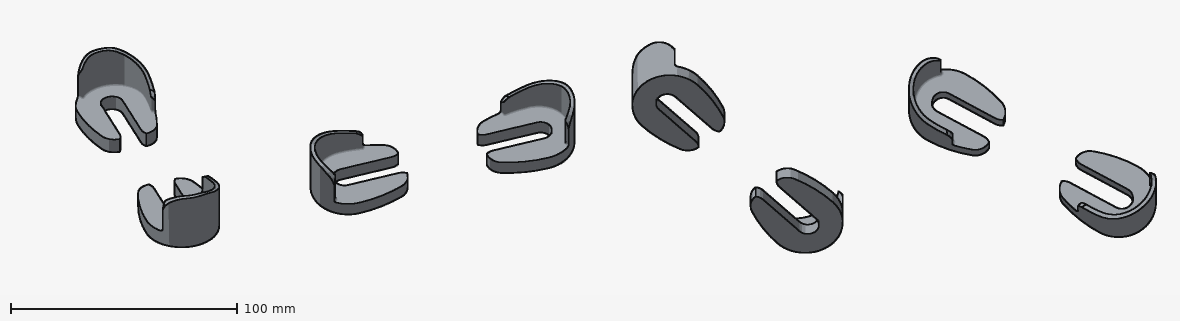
import cadquery as cq
import math

overall_length = 121.16
overall_width = 33.34
height = 26.42

heel_radius = overall_width / 2
heel_center_offset = overall_length / 2 - heel_radius
base_thickness = 7.0
flank_radius = 60.0
flank_run = 20.7
prong_length = 25.42
slot_radius = 5.0
heel_to_slot = 10.0
slot_end_x = heel_to_slot + slot_radius - heel_radius
slot_flare_x = 21.9

wall_thickness = 2.0
wall_inner_radius = heel_radius - wall_thickness
tall_end_angle = math.radians(230.6)
low_end_outer_x = 11.95
low_end_inner_x = 11.05
foot_fillet = 1.25
inner_edge_round = 0.6
match_tolerance = 0.01

slope_angle = math.radians(20.0)
slope_heading = math.radians(37.0)
slope_start = -9.3
slope_blend_radius = 13.0

tall_corner_y = -12.9
tall_corner_radius = 9.1
low_corner_radius = 4.8
low_corner_center_z = 12.6
low_corner_entry_angle = math.radians(32.0)


def polar(radius, angle, center=(0, 0)):
    return (center[0] + radius * math.cos(angle), center[1] + radius * math.sin(angle))


def below(point):
    """Mirror image of a plan point across the X axis."""
    return (point[0], -point[1])


def flank_point(x, inset=0):
    """Point on the +Y flank curve, moved inward by the inset."""
    radius = flank_radius - inset
    return (x, heel_radius - flank_radius + math.sqrt(radius**2 - x**2))


def base_plate():
    flank_mid = flank_point(flank_run / 2)
    flank_end = flank_point(flank_run)

    tilt = math.asin(flank_run / flank_radius)
    tip_radius = (prong_length - flank_run) / (1 - math.sin(tilt))
    tip_center = (prong_length - tip_radius, flank_end[1] - tip_radius * math.cos(tilt))
    tip_mid = polar(tip_radius, (math.pi / 2 - tilt) / 2, tip_center)
    tip_end = (prong_length, tip_center[1])

    flare_run = prong_length - slot_flare_x
    flare_rise = tip_end[1] - slot_radius
    flare_radius = (flare_run**2 + flare_rise**2) / (2 * flare_rise)
    flare_half_sweep = math.asin(flare_run / flare_radius) / 2
    flare_center = (slot_flare_x, slot_radius + flare_radius)
    flare_mid = polar(flare_radius, flare_half_sweep - math.pi / 2, flare_center)
    flare_start = (slot_flare_x, slot_radius)

    return (
        cq.Workplane("XY")
        .moveTo(0, -heel_radius)
        .threePointArc((-heel_radius, 0), (0, heel_radius))
        .threePointArc(flank_mid, flank_end)
        .threePointArc(tip_mid, tip_end)
        .threePointArc(flare_mid, flare_start)
        .lineTo(slot_end_x, slot_radius)
        .threePointArc((slot_end_x - slot_radius, 0), (slot_end_x, -slot_radius))
        .lineTo(*below(flare_start))
        .threePointArc(below(flare_mid), below(tip_end))
        .threePointArc(below(tip_mid), below(flank_end))
        .threePointArc(below(flank_mid), (0, -heel_radius))
        .close()
        .extrude(base_thickness)
    )


def rim_wall():
    """Wall at full height, flush with the base along the heel and the +Y flank."""
    mid_height = (base_thickness + height) / 2
    low_end_inner = flank_point(low_end_inner_x, wall_thickness)
    tall_end_inner = polar(wall_inner_radius, tall_end_angle)
    heel_mid_angle = (math.pi / 2 + tall_end_angle) / 2
    return (
        cq.Workplane("XY")
        .workplane(offset=base_thickness)
        .moveTo(*polar(heel_radius, tall_end_angle))
        .threePointArc(polar(heel_radius, heel_mid_angle), (0, heel_radius))
        .threePointArc(flank_point(low_end_outer_x / 2), flank_point(low_end_outer_x))
        .lineTo(*low_end_inner)
        .threePointArc(flank_point(low_end_inner_x / 2, wall_thickness), (0, wall_inner_radius))
        .threePointArc(polar(wall_inner_radius, heel_mid_angle), tall_end_inner)
        .close()
        .extrude(height - base_thickness)
        .edges(cq.selectors.NearestToPointSelector((*tall_end_inner, mid_height)))
        .fillet(inner_edge_round)
        .edges(cq.selectors.NearestToPointSelector((*low_end_inner, mid_height)))
        .fillet(inner_edge_round)
    )


def slope_cutter():
    """Material above the sloping plane, with a round blend from the level stretch."""
    blend_length = slope_blend_radius * math.tan(slope_angle / 2)
    blend_start = slope_start - blend_length
    blend_center = (blend_start, height - slope_blend_radius)
    blend_mid = polar(slope_blend_radius, math.pi / 2 - slope_angle / 2, blend_center)
    blend_end = polar(slope_blend_radius, math.pi / 2 - slope_angle, blend_center)
    far_end = overall_width
    across = (math.cos(slope_heading), math.sin(slope_heading), 0)
    along = (math.sin(slope_heading), -math.cos(slope_heading), 0)
    return (
        cq.Workplane(cq.Plane(origin=(0, 0, 0), xDir=across, normal=along))
        .moveTo(blend_start, height)
        .threePointArc(blend_mid, blend_end)
        .lineTo(far_end, height - (far_end - slope_start) * math.tan(slope_angle))
        .lineTo(far_end, height)
        .close()
        .extrude(overall_width, both=True)
    )


def tall_corner_cutter():
    """Material outside the quarter round, which runs along X, at the tall end."""
    center = (tall_corner_y + tall_corner_radius, height - tall_corner_radius)
    return (
        cq.Workplane("YZ")
        .moveTo(center[0], height)
        .threePointArc(polar(tall_corner_radius, 0.75 * math.pi, center), (tall_corner_y, center[1]))
        .lineTo(-heel_radius, center[1])
        .lineTo(-heel_radius, height)
        .close()
        .extrude(-heel_radius)
    )


def low_corner_cutter():
    """Material outside the round, which runs along Y, at the low end."""
    center = (low_end_outer_x - low_corner_radius, low_corner_center_z)
    entry_angle = math.pi / 2 - low_corner_entry_angle
    entry = polar(low_corner_radius, entry_angle, center)
    tangent_run = (height - entry[1]) / math.tan(low_corner_entry_angle)
    return (
        cq.Workplane("XZ")
        .moveTo(entry[0] - tangent_run, height)
        .lineTo(*entry)
        .threePointArc(polar(low_corner_radius, entry_angle / 2, center), (low_end_outer_x, center[1]))
        .lineTo(heel_radius, center[1])
        .lineTo(heel_radius, height)
        .close()
        .extrude(-heel_radius)
    )


def fillet_wall_foot(body):
    """Fillet the wall into the base along its inner side and across both ends."""
    low_outer = flank_point(low_end_outer_x)
    low_inner = flank_point(low_end_inner_x, wall_thickness)
    foot_points = [
        polar(wall_inner_radius, math.pi),
        flank_point(low_end_inner_x / 2, wall_thickness),
        polar(heel_radius - wall_thickness / 2, tall_end_angle),
        ((low_outer[0] + low_inner[0]) / 2, (low_outer[1] + low_inner[1]) / 2),
    ]
    foot_spots = [cq.Vertex.makeVertex(x, y, base_thickness) for x, y in foot_points]
    foot_edges = [
        edge
        for edge in body.edges().vals()
        if any(edge.distance(spot) < match_tolerance for spot in foot_spots)
    ]
    return body.newObject(foot_edges).fillet(foot_fillet)


def clip():
    """Clip with its heel centre on the Z axis and its prongs toward +X."""
    wall = rim_wall().cut(slope_cutter()).cut(tall_corner_cutter()).cut(low_corner_cutter())
    return fillet_wall_foot(base_plate().union(wall))


left_clip = clip().translate((-heel_center_offset, 0, 0))
right_clip = left_clip.mirror("YZ")

result = cq.Compound.makeCompound([left_clip.val(), right_clip.val()])